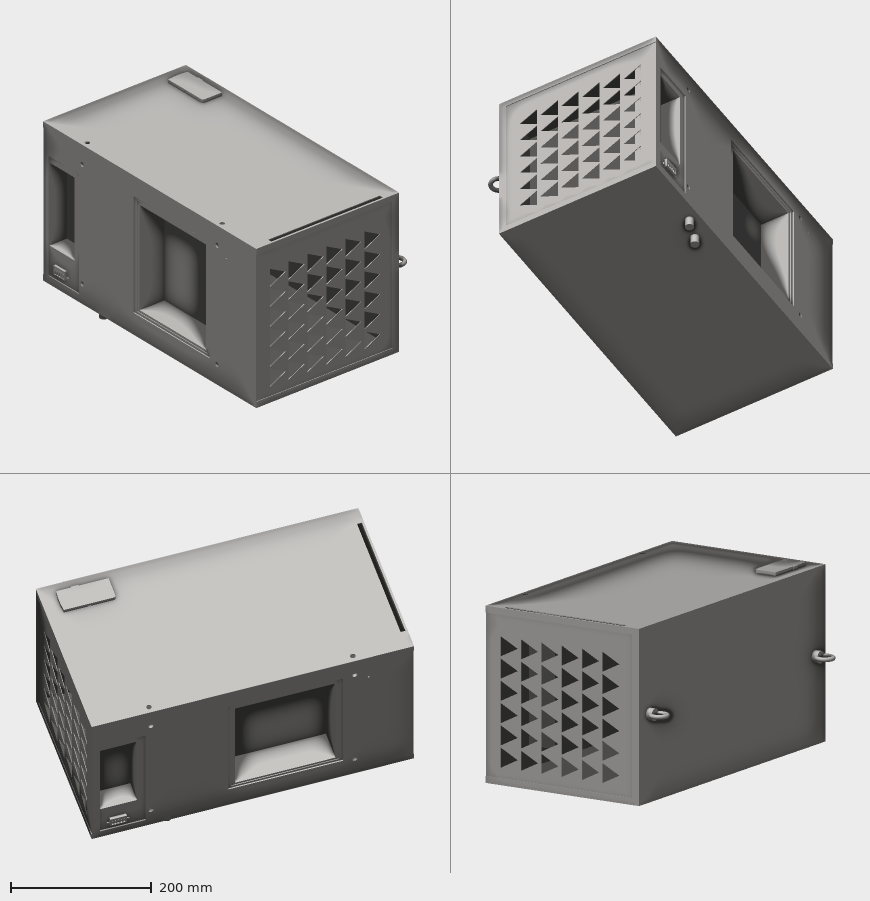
import cadquery as cq
import math

WIDTH, DEPTH, HEIGHT = 481.5, 262.0, 259.0
SHEET = 1.0
SHELL = 1.5
FRONT_WALL = 5.0

FLANGE_Z = 10.0
FLANGE_Y = 11.5

PARTITION_X = 82.0
PARTITION_THICKNESS = 4.0
CONTROL_DEPTH = 35.5

GRILLE_COUNT = 6
GRILLE_Y0, GRILLE_PITCH_Y = 25.5, 34.5
GRILLE_Z0, GRILLE_SPAN_Z = 40.0, 162.5
GRILLE_PITCH_Z = GRILLE_SPAN_Z / (GRILLE_COUNT - 1)
TRIANGLE_LENGTH, TRIANGLE_HEIGHT = 29.0, 29.5

WINDOW_X, WINDOW_Z = 289.7, 130.5
WINDOW_WIDTH, WINDOW_HEIGHT = 171.5, 189.5
RIM_STEP, RIM_STEP_BOTTOM = 5.5, 4.0
RIM_DEPTH, RIM_STEP_DEPTH = 2.0, 3.0
WINDOW_DEPTH = 48.0

PANEL_X0, PANEL_X1 = 12.5, 81.0
PANEL_Z0, PANEL_Z1 = 13.0, 208.0
PANEL_DEPTH = 2.0
BAY_X1 = 68.5
BAY_Z0, BAY_Z1 = 61.5, 196.5
BAY_DEPTH = 33.5

TERMINAL_X, TERMINAL_Z0 = 39.5, 22.5
TERMINAL_WIDTH, TERMINAL_HEIGHT = 25.0, 14.5
TERMINAL_OVERHANG = 2.5
POLES, POLE_PITCH = 5, 4.5
WIRE_PORT_WIDTH, WIRE_PORT_HEIGHT, WIRE_PORT_Z = 3.0, 6.0, 26.5
TEST_HOLE_DIAMETER, TEST_HOLE_Z = 1.5, 32.2
TERMINAL_PORT_DEPTH = 3.0
EAR_SPAN, EAR_HEIGHT, EAR_Z = 34.0, 4.0, 23.5
EAR_THICKNESS = 1.5

SCREW_DIAMETER = 7.5
SCREW_SPACING_X = 304.0
SCREW_Z = (32.5, 226.5)
TOP_SCREW_Y = 9.5
LAMP_X, LAMP_Z, LAMP_DIAMETER = 413.5, 215.0, 3.5

SLOT_X0, SLOT_X1 = 470.5, 478.0
SLOT_Y0, SLOT_Y1 = 30.5, 235.0

CAP_X0, CAP_X1 = 25.0, 103.0
CAP_Y0, CAP_Y1 = 209.0, 244.5
CAP_HEIGHT, CAP_BULGE, CAP_CORNER = 6.0, 1.5, 4.0
CAP_TAB_X, CAP_TAB_WIDTH, CAP_TAB_DEPTH = 53.0, 11.0, 1.5
CAP_NOTCH_X, CAP_NOTCH_WIDTH, CAP_NOTCH_HEIGHT, CAP_NOTCH_DEPTH = 63.5, 5.0, 3.5, 1.0

EYE_INSET_X = 27.0
EYE_COLLAR_DIAMETER, EYE_COLLAR_LENGTH = 18.5, 9.5
EYE_RADIUS, EYE_WIRE_RADIUS = 12.0, 3.5
EYE_CENTRE = 16.5

DRAIN_DIAMETER, DRAIN_LENGTH = 13.0, 15.0
DRAIN_POSITIONS = ((117.5, 16.0), (151.5, 28.0))


def block(x0, x1, y0, y1, z0, z1):
    """Box between two opposite corners."""
    return cq.Workplane("XY").box(x1 - x0, y1 - y0, z1 - z0, centered=False).translate((x0, y0, z0))


def front_pocket(x, z, width, height, y0, y1):
    """Box centred on (x, z), running from y0 back to y1."""
    return block(x - width / 2, x + width / 2, y0, y1, z - height / 2, z + height / 2)


def front_hole(x, z, diameter, y0, y1):
    """Round bar along Y from y0 back to y1."""
    return cq.Workplane("XZ", origin=(x, y0, z)).circle(diameter / 2).extrude(y0 - y1)


def make_cabinet():
    """Hollow sheet-metal box whose end panels sit one sheet inside their flanges."""
    cabinet = block(0, WIDTH, 0, DEPTH, 0, HEIGHT)
    panel_y1 = DEPTH - FLANGE_Y
    panel_z1 = HEIGHT - FLANGE_Z
    for x0 in (0, WIDTH - SHEET):
        cabinet = cabinet.cut(block(x0, x0 + SHEET, 0, panel_y1, FLANGE_Z, panel_z1))
    inner = 2 * SHEET
    partition_x1 = PARTITION_X + PARTITION_THICKNESS
    back, roof = DEPTH - SHELL, HEIGHT - SHELL
    left_chamber = block(inner, PARTITION_X, CONTROL_DEPTH, back, SHELL, roof)
    right_chamber = block(partition_x1, WIDTH - inner, FRONT_WALL, back, SHELL, roof)
    return cabinet.cut(left_chamber).cut(right_chamber)


def make_grille_cutter(x0):
    """Grid of triangular prisms, two sheets long, starting at x0."""
    centres = [
        (GRILLE_Y0 + column * GRILLE_PITCH_Y, GRILLE_Z0 + row * GRILLE_PITCH_Z)
        for column in range(GRILLE_COUNT)
        for row in range(GRILLE_COUNT)
    ]
    cutter = cq.Workplane("YZ", origin=(x0, 0, 0))
    for y, z in centres:
        cutter = (
            cutter.moveTo(y, z - TRIANGLE_HEIGHT / 2)
            .lineTo(y, z + TRIANGLE_HEIGHT / 2)
            .lineTo(y + TRIANGLE_LENGTH, z)
            .close()
        )
    return cutter.extrude(2 * SHEET)


def add_window(body):
    """Blind front window with a stepped rim, in its own housing."""
    housing_width = WINDOW_WIDTH + 2 * SHEET
    housing_height = WINDOW_HEIGHT + 2 * SHEET
    housing_depth = WINDOW_DEPTH + SHEET
    body = body.union(front_pocket(WINDOW_X, WINDOW_Z, housing_width, housing_height, 0, housing_depth))
    for step, depth in enumerate((RIM_DEPTH, RIM_STEP_DEPTH, WINDOW_DEPTH)):
        width = WINDOW_WIDTH - 2 * step * RIM_STEP
        height = WINDOW_HEIGHT - step * (RIM_STEP + RIM_STEP_BOTTOM)
        z = WINDOW_Z - step * (RIM_STEP - RIM_STEP_BOTTOM) / 2
        body = body.cut(front_pocket(WINDOW_X, z, width, height, 0, depth))
    return body


def add_control_panel(body):
    """Sunken panel with a deep bay in the front left corner."""
    body = body.cut(block(PANEL_X0, PANEL_X1, 0, PANEL_DEPTH, PANEL_Z0, PANEL_Z1))
    return body.cut(block(PANEL_X0, BAY_X1, 0, BAY_DEPTH, BAY_Z0, BAY_Z1))


def make_terminal_block():
    """Terminal block with ears, wire ports and test holes."""
    face = -TERMINAL_OVERHANG
    terminal = front_pocket(
        TERMINAL_X, TERMINAL_Z0 + TERMINAL_HEIGHT / 2, TERMINAL_WIDTH, TERMINAL_HEIGHT, face, PANEL_DEPTH
    )
    ears = front_pocket(
        TERMINAL_X, EAR_Z + EAR_HEIGHT / 2, EAR_SPAN, EAR_HEIGHT, PANEL_DEPTH - EAR_THICKNESS, PANEL_DEPTH
    )
    terminal = terminal.union(ears)
    port_end = face + TERMINAL_PORT_DEPTH
    for pole in range(POLES):
        x = TERMINAL_X + (pole - (POLES - 1) / 2) * POLE_PITCH
        terminal = terminal.cut(
            front_pocket(x, WIRE_PORT_Z, WIRE_PORT_WIDTH, WIRE_PORT_HEIGHT, face, port_end)
        )
        terminal = terminal.cut(front_hole(x, TEST_HOLE_Z, TEST_HOLE_DIAMETER, face, port_end))
    return terminal


def cut_sheet_holes(body):
    """Screw holes in the front and top, the lamp hole and the top slot."""
    for side in (-1, 1):
        x = WIDTH / 2 + side * SCREW_SPACING_X / 2
        for z in SCREW_Z:
            body = body.cut(front_hole(x, z, SCREW_DIAMETER, 0, FRONT_WALL))
        top_hole = (
            cq.Workplane("XY", origin=(x, TOP_SCREW_Y, HEIGHT)).circle(SCREW_DIAMETER / 2).extrude(-SHELL)
        )
        body = body.cut(top_hole)
    body = body.cut(front_hole(LAMP_X, LAMP_Z, LAMP_DIAMETER, 0, FRONT_WALL))
    return body.cut(block(SLOT_X0, SLOT_X1, SLOT_Y0, SLOT_Y1, HEIGHT - SHELL, HEIGHT))


def make_cap():
    """Flat cap with a bowed left end, one rounded corner, a back tab and a front notch."""
    corner_mid = CAP_CORNER * (1 - math.sqrt(0.5))
    cap = (
        cq.Workplane("XY", origin=(0, 0, HEIGHT))
        .moveTo(CAP_X0, CAP_Y1)
        .lineTo(CAP_X1, CAP_Y1)
        .lineTo(CAP_X1, CAP_Y0 + CAP_CORNER)
        .threePointArc((CAP_X1 - corner_mid, CAP_Y0 + corner_mid), (CAP_X1 - CAP_CORNER, CAP_Y0))
        .lineTo(CAP_X0, CAP_Y0)
        .threePointArc((CAP_X0 - CAP_BULGE, (CAP_Y0 + CAP_Y1) / 2), (CAP_X0, CAP_Y1))
        .close()
        .extrude(CAP_HEIGHT)
    )
    tab_x0 = CAP_TAB_X - CAP_TAB_WIDTH / 2
    tab_y1 = CAP_Y1 + CAP_TAB_DEPTH
    tab = block(tab_x0, tab_x0 + CAP_TAB_WIDTH, CAP_Y1, tab_y1, HEIGHT, HEIGHT + CAP_HEIGHT)
    notch_x0 = CAP_NOTCH_X - CAP_NOTCH_WIDTH / 2
    notch_y1 = CAP_Y0 + CAP_NOTCH_DEPTH
    notch_z1 = HEIGHT + CAP_NOTCH_HEIGHT
    notch = block(notch_x0, notch_x0 + CAP_NOTCH_WIDTH, CAP_Y0, notch_y1, HEIGHT, notch_z1)
    return cap.union(tab).cut(notch)


def make_lifting_eye(x):
    """Round collar on the back carrying a ring that lies in the XY plane."""
    z = HEIGHT / 2
    collar = front_hole(x, z, EYE_COLLAR_DIAMETER, DEPTH, DEPTH + EYE_COLLAR_LENGTH)
    centre = cq.Vector(x, DEPTH + EYE_CENTRE, z)
    ring = cq.Workplane(cq.Solid.makeTorus(EYE_RADIUS, EYE_WIRE_RADIUS, centre, cq.Vector(0, 0, 1)))
    return collar.union(ring)


def make_drain(x, y):
    """Pipe stub below the cabinet."""
    return cq.Workplane("XY", origin=(x, y, 0)).circle(DRAIN_DIAMETER / 2).extrude(-DRAIN_LENGTH)


body = make_cabinet()
body = body.cut(make_grille_cutter(0))
body = body.cut(make_grille_cutter(WIDTH - 2 * SHEET))
body = add_window(body)
body = add_control_panel(body)
body = body.union(make_terminal_block())
body = cut_sheet_holes(body)
body = body.union(make_cap())
for eye_x in (EYE_INSET_X, WIDTH - EYE_INSET_X):
    body = body.union(make_lifting_eye(eye_x))
for drain_x, drain_y in DRAIN_POSITIONS:
    body = body.union(make_drain(drain_x, drain_y))

result = body